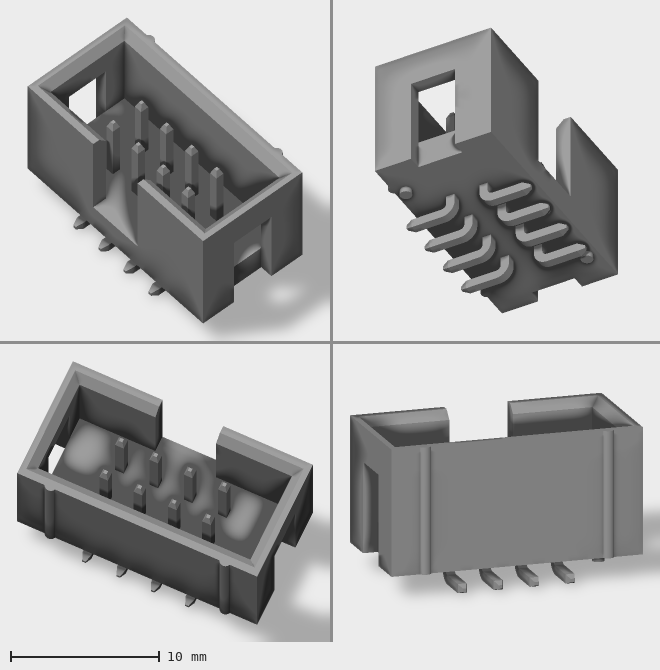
import cadquery as cq
import math


length = 17.78
width = 8.9
height = 8.89
floor_top = 2.08
end_wall = 1.03
side_wall = 1.14
mouth_chamfer = 0.6

key_slot_width = 4.5
window_width = 3.36
window_top = 6.38

round_diameter = 0.85
peg_height = 0.4
peg_x = 6.01
peg_y = 3.65
rib_x = 6.47
rib_protrusion = 0.25

pitch = 2.55
pins_per_row = 4
pin_size = 0.64
tip_size = 0.25
tip_length = 0.5
pin_top = 7.17
foot_bottom = -1.62
foot_reach = 4.75
inner_bend_radius = 0.37

row_y = pitch / 2
pin_xs = [(i - (pins_per_row - 1) / 2) * pitch for i in range(pins_per_row)]


def make_cavity():
    """Rectangular cavity above the floor, widening at a chamfered mouth."""
    cavity_length = length - 2 * end_wall
    cavity_width = width - 2 * side_wall
    return (
        cq.Workplane("XY", origin=(0, 0, floor_top))
        .rect(cavity_length, cavity_width)
        .extrude(height - floor_top)
        .faces(">Z")
        .workplane(offset=-mouth_chamfer)
        .rect(cavity_length, cavity_width)
        .workplane(offset=mouth_chamfer)
        .rect(cavity_length + 2 * mouth_chamfer, cavity_width + 2 * mouth_chamfer)
        .loft(ruled=True)
    )


def make_key_slot():
    """Polarising slot through the front wall, from the floor to the top edge."""
    return cq.Workplane("XY").box(
        key_slot_width, side_wall, height - floor_top, centered=(True, False, False)
    ).translate((0, -width / 2, floor_top))


def make_end_window(side):
    """Window through one end wall, open at the bottom; side is -1 or 1."""
    return cq.Workplane("XY").box(
        end_wall, window_width, window_top, centered=(True, True, False)
    ).translate((side * (length - end_wall) / 2, 0, 0))


def make_ribs():
    """Full-height round ribs, partly sunk into the back wall."""
    rib_y = width / 2 + rib_protrusion - round_diameter / 2
    return (
        cq.Workplane("XY")
        .pushPoints([(-rib_x, rib_y), (rib_x, rib_y)])
        .circle(round_diameter / 2)
        .extrude(height)
    )


def make_pegs():
    """Three short pegs under the housing: one at the back left, two at the front."""
    return (
        cq.Workplane("XY")
        .pushPoints([(-peg_x, peg_y), (0, -peg_y), (peg_x, -peg_y)])
        .circle(round_diameter / 2)
        .extrude(-peg_height)
    )


def make_pin_holes():
    """Square holes through the floor that the pins fill."""
    hole_centres = [(x, side * row_y) for x in pin_xs for side in (-1, 1)]
    return cq.Workplane("XY").pushPoints(hole_centres).rect(pin_size, pin_size).extrude(floor_top)


def make_housing():
    block = cq.Workplane("XY").box(length, width, height, centered=(True, True, False))
    housing = block.union(make_ribs()).cut(make_cavity()).cut(make_key_slot())
    for side in (-1, 1):
        housing = housing.cut(make_end_window(side))
    return housing.union(make_pegs()).cut(make_pin_holes())


def make_tip(base_centre, direction):
    """Four-sided tapered tip starting at base_centre and pointing along direction."""
    base = cq.Plane(origin=base_centre, xDir=(1, 0, 0), normal=direction)
    return (
        cq.Workplane(base)
        .rect(pin_size, pin_size)
        .workplane(offset=tip_length)
        .rect(tip_size, tip_size)
        .loft(ruled=True)
    )


def make_pin():
    """Pin of the back row at x = 0: upright post, rounded bend, foot towards +Y."""
    inner_y = row_y - pin_size / 2
    outer_y = row_y + pin_size / 2
    foot_top = foot_bottom + pin_size
    outer_bend_radius = inner_bend_radius + pin_size
    bend_y = outer_y + inner_bend_radius
    bend_z = foot_top + inner_bend_radius
    foot_end = foot_reach - tip_length
    post_top = pin_top - tip_length
    diagonal = math.sqrt(0.5)

    shaft = (
        cq.Workplane("YZ", origin=(-pin_size / 2, 0, 0))
        .moveTo(inner_y, post_top)
        .lineTo(inner_y, bend_z)
        .threePointArc(
            (bend_y - outer_bend_radius * diagonal, bend_z - outer_bend_radius * diagonal),
            (bend_y, foot_bottom),
        )
        .lineTo(foot_end, foot_bottom)
        .lineTo(foot_end, foot_top)
        .lineTo(bend_y, foot_top)
        .threePointArc(
            (bend_y - inner_bend_radius * diagonal, bend_z - inner_bend_radius * diagonal),
            (outer_y, bend_z),
        )
        .lineTo(outer_y, post_top)
        .close()
        .extrude(pin_size)
    )
    post_tip = make_tip((0, row_y, post_top), (0, 0, 1))
    foot_tip = make_tip((0, foot_end, foot_bottom + pin_size / 2), (0, 1, 0))
    return shaft.union(post_tip).union(foot_tip)


def make_pins():
    """Both rows of pins; the front row is the back row turned to face -Y."""
    back_pin = make_pin()
    front_pin = back_pin.rotate((0, 0, 0), (0, 0, 1), 180)
    return [pin.translate((x, 0, 0)).val() for x in pin_xs for pin in (front_pin, back_pin)]


housing = make_housing()
pins = make_pins()

result = cq.Compound.makeCompound([housing.val(), *pins])